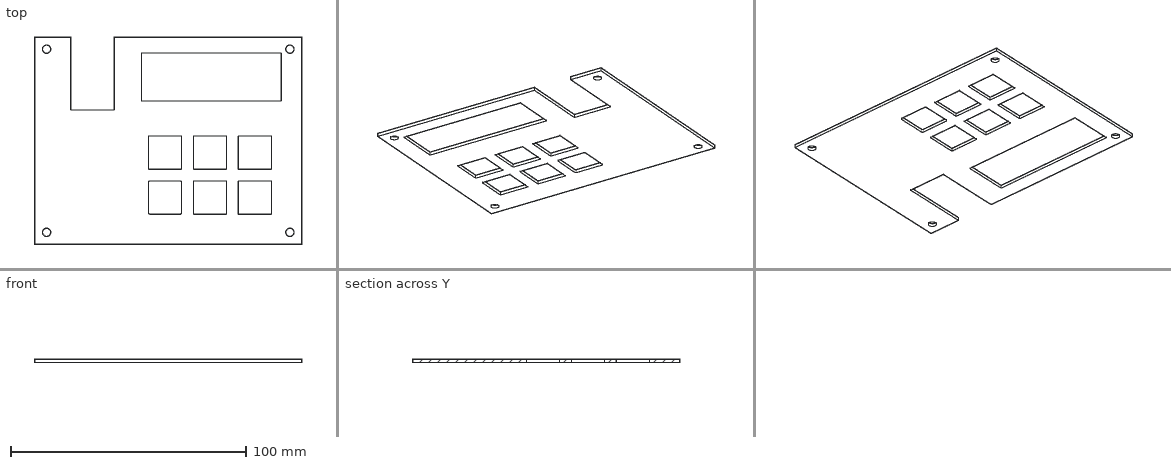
import cadquery as cq

plate_length = 113.6
plate_width = 88.0
plate_thickness = 1.5

hole_diameter = 3.4
hole_inset = 5.1

notch_left = 15.5
notch_width = 18.4
notch_depth = 30.9

window_left = 45.4
window_length = 59.3
window_width = 20.2
window_back_margin = 6.8

key_size = 14.0
key_pitch = 19.1
key_columns = 3
key_rows = 2
first_key_x = 55.4
first_key_y = 19.9
key_corner_radius = 0.5


def block(left, front, length, width):
    """Rectangular block through the plate thickness."""
    return cq.Workplane("XY").box(length, width, plate_thickness, centered=False).translate((left, front, 0))


def key_opening(column, row):
    """Square key cutter; only the front left key has rounded corners."""
    left = first_key_x + column * key_pitch - key_size / 2
    front = first_key_y + row * key_pitch - key_size / 2
    opening = block(left, front, key_size, key_size)
    if column == 0 and row == 0:
        opening = opening.edges("|Z").fillet(key_corner_radius)
    return opening


def mounting_holes():
    """Cutters for the four corner holes."""
    centers = [
        (x, y)
        for x in (hole_inset, plate_length - hole_inset)
        for y in (hole_inset, plate_width - hole_inset)
    ]
    return cq.Workplane("XY").pushPoints(centers).circle(hole_diameter / 2).extrude(plate_thickness)


plate = block(0, 0, plate_length, plate_width)
notch = block(notch_left, plate_width - notch_depth, notch_width, notch_depth)
window_front = plate_width - window_back_margin - window_width
window = block(window_left, window_front, window_length, window_width)

result = plate.cut(notch).cut(window).cut(mounting_holes())
for column in range(key_columns):
    for row in range(key_rows):
        result = result.cut(key_opening(column, row))